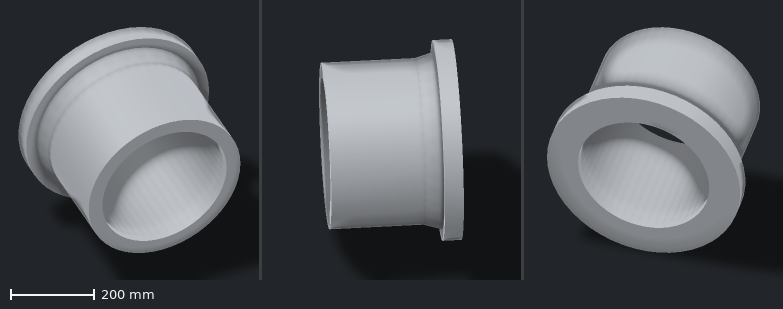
import cadquery as cq

total_length = 315.0
flange_diameter = 482.0
flange_thickness = 45.5
neck_diameter = 427.0
neck_length = 45.0
pipe_diameter = 400.0
bore_diameter = 327.5

flange_radius = flange_diameter / 2
neck_radius = neck_diameter / 2
pipe_radius = pipe_diameter / 2
bore_radius = bore_diameter / 2
neck_end = flange_thickness + neck_length

half_section = (
    cq.Workplane("XY")
    .moveTo(0, bore_radius)
    .lineTo(0, flange_radius)
    .lineTo(flange_thickness, flange_radius)
    .lineTo(flange_thickness, neck_radius)
    .lineTo(neck_end, pipe_radius)
    .lineTo(total_length, pipe_radius)
    .lineTo(total_length, bore_radius)
    .close()
)

result = half_section.revolve(360, (0, 0, 0), (1, 0, 0))